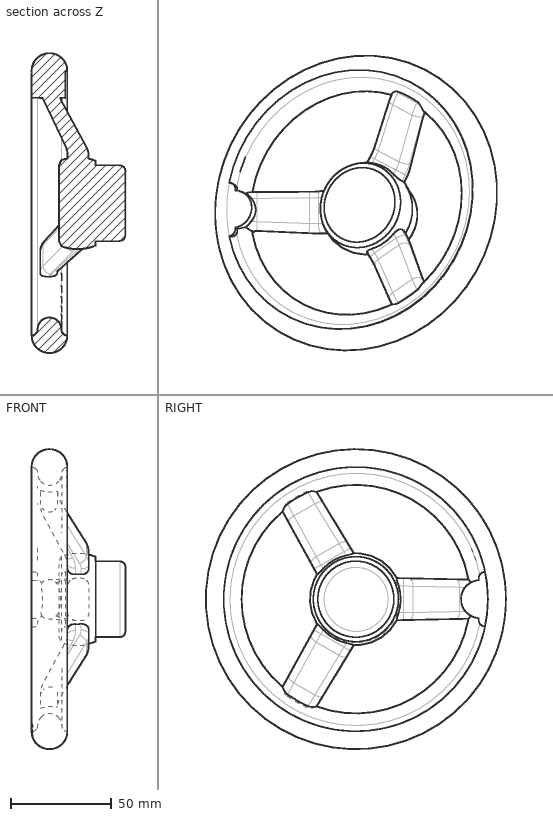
import cadquery as cq
import math


RIM_RADIUS = 75.0
BEAD_RADIUS = 9.0
INNER_BEAD_RADIUS = 6.0
RIM_WIDTH = 2 * BEAD_RADIUS
RIM_MID_X = BEAD_RADIUS
BEAD_CENTER = RIM_RADIUS - BEAD_RADIUS
STEP = BEAD_RADIUS - INNER_BEAD_RADIUS
INNER_BEAD_CENTER = BEAD_CENTER - STEP
RIM_BORE_RADIUS = INNER_BEAD_CENTER - INNER_BEAD_RADIUS

BOSS_RADIUS = 9.5
BOSS_CENTER = 62.0
BOSS_FLARE_RADIUS = 3.5
BOSS_DEPTH = 17.0

HUB_FRONT_X = 13.7
HUB_FACE_RADIUS = 19.0
HUB_CONE_DEPTH = 1.15
HUB_CONE_RADIUS = 21.55
BARREL_RADIUS = 23.0
BARREL_WIDEST_X = 24.5
BARREL_BACK_RADIUS = 21.25
BARREL_BACK_X = 32.0
NECK_RADIUS = 19.0
NECK_BACK_X = 47.0
NECK_FILLET = 3.0

SPOKE_COUNT = 3
SPOKE_INNER_RADIUS = 15.0
SPOKE_OUTER_RADIUS = INNER_BEAD_CENTER
SPOKE_INNER_WIDTH = 21.4
SPOKE_OUTER_WIDTH = 19.4
SPOKE_EDGE_FILLET = 3.9
HUB_BEND = 26.2
RIM_BEND = 55.0
FRONT_HUB_X = 18.0
FRONT_RIM_X = 4.3
BACK_HUB_X = 28.6
BACK_RIM_X = 13.0
HUB_BEND_RADIUS = 10.0
RIM_BEND_RADIUS = 15.0
BEND_SELECT_MARGIN = 1.0


def make_rim():
    """Revolve the two-bead section; sketch coordinates are X and radius."""
    profile = (
        cq.Workplane("XY")
        .moveTo(0, BEAD_CENTER)
        .threePointArc((RIM_MID_X, RIM_RADIUS), (RIM_WIDTH, BEAD_CENTER))
        .radiusArc((RIM_WIDTH - STEP, INNER_BEAD_CENTER), -STEP)
        .threePointArc((RIM_MID_X, RIM_BORE_RADIUS), (STEP, INNER_BEAD_CENTER))
        .radiusArc((0, BEAD_CENTER), -STEP)
        .close()
    )
    return profile.revolve(360, (0, 0, 0), (1, 0, 0))


def make_boss():
    """Pad whose concave flares run tangent into the step of the rim."""
    flare_orbit = BEAD_CENTER - BOSS_FLARE_RADIUS
    center_distance = BOSS_RADIUS + BOSS_FLARE_RADIUS
    cos_angle = (flare_orbit**2 + BOSS_CENTER**2 - center_distance**2) / (2 * flare_orbit * BOSS_CENTER)
    angle = math.acos(cos_angle)
    rim_y = BEAD_CENTER * math.cos(angle)
    rim_z = BEAD_CENTER * math.sin(angle)
    boss_share = BOSS_RADIUS / center_distance
    boss_y = BOSS_CENTER + boss_share * (flare_orbit * math.cos(angle) - BOSS_CENTER)
    boss_z = boss_share * flare_orbit * math.sin(angle)
    return (
        cq.Workplane("YZ")
        .moveTo(rim_y, rim_z)
        .radiusArc((boss_y, boss_z), -BOSS_FLARE_RADIUS)
        .threePointArc((BOSS_CENTER - BOSS_RADIUS, 0), (boss_y, -boss_z))
        .radiusArc((rim_y, -rim_z), -BOSS_FLARE_RADIUS)
        .threePointArc((BEAD_CENTER, 0), (rim_y, rim_z))
        .close()
        .extrude(BOSS_DEPTH)
    )


def make_hub():
    """Revolve the hub section; sketch coordinates are X and radius."""
    profile = (
        cq.Workplane("XY")
        .moveTo(HUB_FRONT_X, 0)
        .lineTo(HUB_FRONT_X, HUB_FACE_RADIUS)
        .lineTo(HUB_FRONT_X + HUB_CONE_DEPTH, HUB_CONE_RADIUS)
        .threePointArc((BARREL_WIDEST_X, BARREL_RADIUS), (BARREL_BACK_X, BARREL_BACK_RADIUS))
        .lineTo(BARREL_BACK_X, NECK_RADIUS)
        .lineTo(NECK_BACK_X, NECK_RADIUS)
        .lineTo(NECK_BACK_X, 0)
        .close()
    )
    hub = profile.revolve(360, (0, 0, 0), (1, 0, 0))
    return hub.faces(">X").edges().fillet(NECK_FILLET)


def bend_selector(radius):
    """Select the front and back corners of a spoke bend at the given radius."""
    near_corner = (0, radius - BEND_SELECT_MARGIN, -SPOKE_INNER_WIDTH)
    far_corner = (NECK_BACK_X, radius + BEND_SELECT_MARGIN, SPOKE_INNER_WIDTH)
    return cq.selectors.BoxSelector(near_corner, far_corner)


def make_spoke():
    """Spoke along +Y: a cranked side profile narrowed by a tapered plan."""
    side = (
        cq.Workplane("XY")
        .moveTo(FRONT_HUB_X, SPOKE_INNER_RADIUS)
        .lineTo(FRONT_HUB_X, HUB_BEND)
        .lineTo(FRONT_RIM_X, RIM_BEND)
        .lineTo(FRONT_RIM_X, SPOKE_OUTER_RADIUS)
        .lineTo(BACK_RIM_X, SPOKE_OUTER_RADIUS)
        .lineTo(BACK_RIM_X, RIM_BEND)
        .lineTo(BACK_HUB_X, HUB_BEND)
        .lineTo(BACK_HUB_X, SPOKE_INNER_RADIUS)
        .close()
        .extrude(SPOKE_INNER_WIDTH / 2, both=True)
    )
    side = side.edges("|Z").edges(bend_selector(HUB_BEND)).fillet(HUB_BEND_RADIUS)
    side = side.edges("|Z").edges(bend_selector(RIM_BEND)).fillet(RIM_BEND_RADIUS)
    plan = (
        cq.Workplane("YZ")
        .moveTo(SPOKE_INNER_RADIUS, -SPOKE_INNER_WIDTH / 2)
        .lineTo(SPOKE_OUTER_RADIUS, -SPOKE_OUTER_WIDTH / 2)
        .lineTo(SPOKE_OUTER_RADIUS, SPOKE_OUTER_WIDTH / 2)
        .lineTo(SPOKE_INNER_RADIUS, SPOKE_INNER_WIDTH / 2)
        .close()
        .extrude(NECK_BACK_X)
    )
    spoke = side.intersect(plan)
    long_edges = spoke.edges("not |Z").edges("not |X")
    return long_edges.fillet(SPOKE_EDGE_FILLET)


result = make_rim().union(make_boss()).union(make_hub())
spoke = make_spoke()
for index in range(SPOKE_COUNT):
    angle = index * 360 / SPOKE_COUNT
    result = result.union(spoke.rotate((0, 0, 0), (1, 0, 0), angle))